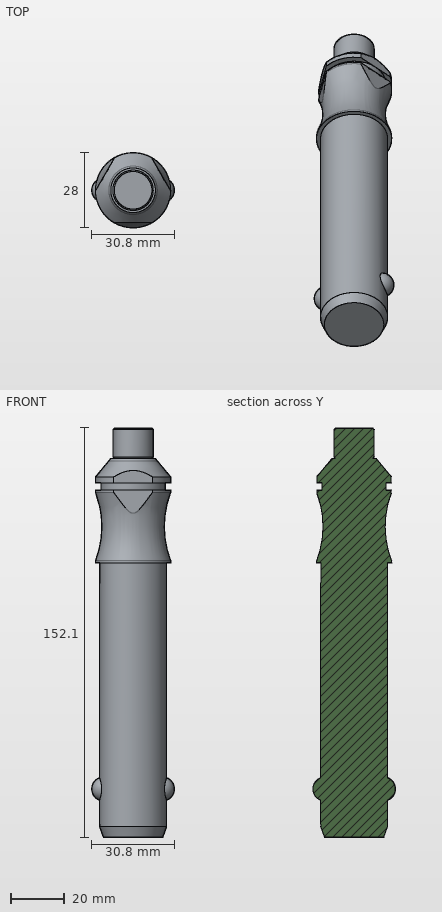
import cadquery as cq
import math


shaft_length = 102.0
shaft_radius = 12.5
tip_height = 4.0
tip_taper_angle = 20.0

ball_radius = 4.5
ball_reach = 15.4
ball_height_above_tip = 18.0

grip_radius = 14.0
shoulder_rim_height = 0.8
waist_radius = 11.65
waist_height = 13.5
upper_rim_bottom = 2 * waist_height - shoulder_rim_height
upper_rim_height = 0.8
groove_radius = 12.0
groove_width = 2.75
head_rim_height = 2.2
cone_height = 6.0
cone_top_radius = 9.0
crown_height = 0.9
crown_top_radius = 8.3

flat_distance = 12.0
flat_count = 3
first_flat_angle = -90.0

button_top = 50.06
button_radius = 7.5
button_chamfer = 0.5

groove_bottom = upper_rim_bottom + upper_rim_height
groove_top = groove_bottom + groove_width
cone_bottom = groove_top + head_rim_height
cone_top = cone_bottom + cone_height
head_top = cone_top + crown_height


def make_shaft():
    tip_radius = shaft_radius - tip_height * math.tan(math.radians(tip_taper_angle))
    return (
        cq.Workplane("XZ")
        .moveTo(0, -shaft_length)
        .lineTo(tip_radius, -shaft_length)
        .lineTo(shaft_radius, tip_height - shaft_length)
        .lineTo(shaft_radius, 0)
        .lineTo(0, 0)
        .close()
        .revolve(360, (0, 0, 0), (0, 1, 0))
    )


def make_grip():
    return (
        cq.Workplane("XZ")
        .moveTo(0, 0)
        .lineTo(grip_radius, 0)
        .lineTo(grip_radius, shoulder_rim_height)
        .threePointArc((waist_radius, waist_height), (grip_radius, upper_rim_bottom))
        .lineTo(grip_radius, groove_bottom)
        .lineTo(groove_radius, groove_bottom)
        .lineTo(groove_radius, groove_top)
        .lineTo(grip_radius, groove_top)
        .lineTo(grip_radius, cone_bottom)
        .lineTo(cone_top_radius, cone_top)
        .lineTo(crown_top_radius, head_top)
        .lineTo(0, head_top)
        .close()
        .revolve(360, (0, 0, 0), (0, 1, 0))
    )


def cut_flats(grip):
    """Cut the flats from the waist upward; each runs out where the grip narrows."""
    depth = grip_radius - flat_distance
    height = head_top - waist_height
    cutter = cq.Workplane("XY").box(depth, 2 * grip_radius, height, centered=(False, True, False))
    cutter = cutter.translate((flat_distance, 0, waist_height))
    for index in range(flat_count):
        angle = first_flat_angle + index * 360 / flat_count
        grip = grip.cut(cutter.rotate((0, 0, 0), (0, 0, 1), angle))
    return grip


def make_button():
    return (
        cq.Workplane("XY", origin=(0, 0, head_top))
        .circle(button_radius)
        .extrude(button_top - head_top)
        .faces("<Z or >Z")
        .chamfer(button_chamfer)
    )


def make_ball(side):
    ball_x = side * (ball_reach - ball_radius)
    ball_z = ball_height_above_tip - shaft_length
    return cq.Workplane("XY").sphere(ball_radius).translate((ball_x, 0, ball_z))


result = make_shaft().union(cut_flats(make_grip())).union(make_button())
for side in (-1, 1):
    result = result.union(make_ball(side))